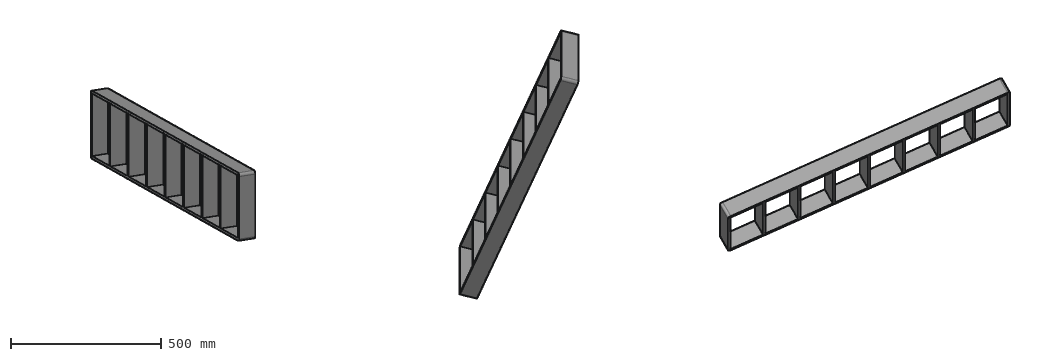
import cadquery as cq

length = 1054.0
depth = 60.0
height = 238.0

wall = 10.0
bay_count = 8
corner_radius = wall

bay_pitch = (length - wall) / bay_count
bay_width = bay_pitch - wall
bay_height = height - 2 * wall

frame = cq.Workplane("XY").box(length, depth, height)
frame = frame.edges("|Y").fillet(corner_radius)

openings = (
    cq.Workplane("XZ")
    .rarray(bay_pitch, 11, bay_count, 1)
    .rect(bay_width, bay_height)
    .extrude(depth, both=True)
)

result = frame.cut(openings)